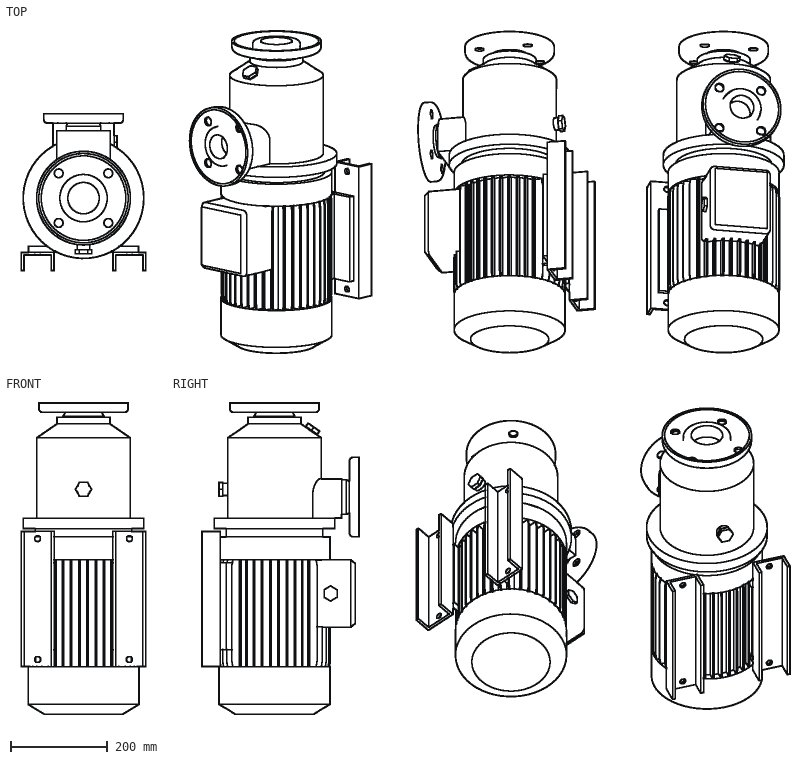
import cadquery as cq
import math

COWL_CHAMFER_TOP = 20.5
FIN_BOTTOM = 98.5
FIN_TOP = 320.0
NECK_BOTTOM = 367.0
DISC_BOTTOM = 384.0
DISC_TOP = 406.0
CONE_BOTTOM = 572.0
CONE_TOP = 601.0
COLLAR_TOP = 615.0
INLET_FACE = 644.5

COWL_BOTTOM_RADIUS = 81.0
COWL_RADIUS = 115.0
FIN_ROOT_RADIUS = 100.0
NECK_RADIUS = 100.0
DISC_RADIUS = 125.0
CASING_RADIUS = 97.0
COLLAR_RADIUS = 55.0

SIDES = 4
SIDE_ANGLE = 360.0 / SIDES
FINS_PER_SIDE = 10
FIN_PITCH_ANGLE = SIDE_ANGLE / FINS_PER_SIDE
FIN_SPACING_RADIUS = 110.0
FIN_THICKNESS = 3.0
FIN_TIP_RADIUS = 116.0
FIN_HEIGHT = 20.0
FIN_TAPER_DEPTH = 2.0
FIN_TAPER_LENGTH = 12.0

BOX_WIDTH = 127.0
BOX_BOTTOM = 180.0
BOX_INNER_Y = 75.0
BOX_OUTER_Y = 167.5
BOX_CORNER_RADIUS = 10.0
BOX_BEVEL_DEPTH = 10.0
BOX_BEVEL_INSET = 8.0
GLAND_ACROSS_FLATS = 27.0
GLAND_LENGTH = 6.0
GLAND_Y = 116.0

RAIL_X = 95.0
RAIL_WIDTH = 68.0
RAIL_DEPTH = 38.0
RAIL_WALL = 6.0
RAIL_LENGTH = 280.0
RAIL_BACK_Y = -112.0
RAIL_HOLE_DIAMETER = 12.0
RAIL_HOLE_INSET = 15.0
PAD_THICKNESS = 12.5
PAD_INNER_X = 58.0
PAD_OUTER_X = 114.0
PAD_BOTTOM = 134.0
PAD_HEIGHT = 180.0
PAD_WEB_THICKNESS = 12.0
PAD_WEB_TOP_Y = -75.0

FLANGE_THICKNESS = 20.0
FLANGE_WALL = 5.0
FLANGE_OUTER_FILLET = 8.0
FLANGE_INNER_FILLET = 2.5
FLANGE_HOLE_COUNT = 4
FLANGE_HOLE_DIAMETER = 18.0
FLANGE_FIRST_HOLE_ANGLE = 45.0
HUB_WALL = 16.5
HUB_FILLET = 6.0

INLET_FLANGE_RADIUS = 92.5
INLET_BOLT_CIRCLE = 145.0
INLET_BORE = 65.0
INLET_PIPE_RADIUS = 38.0
INLET_FOOT_RADIUS = 42.5
INLET_FOOT_HEIGHT = 1.5

OUTLET_FLANGE_RADIUS = 82.5
OUTLET_BOLT_CIRCLE = 125.0
OUTLET_BORE = 50.0
OUTLET_PIPE_RADIUS = 33.0
OUTLET_FOOT_RADIUS = 36.0
OUTLET_FOOT_HEIGHT = 9.5
OUTLET_FACE_Y = 175.0
OUTLET_Z = 449.5
BLOCK_WIDTH = 111.5
BLOCK_TOP = 487.0
BLOCK_END_Y = 139.0
BLOCK_FILLET = 31.0

PLUG_ACROSS_FLATS = 29.0
PLUG_HEAD = 8.5
PLUG_SHANK_RADIUS = 13.0
DRAIN_Z = DISC_TOP + 59.5
DRAIN_FACE_Y = -115.0
VENT_HEIGHT = 9.5
PLUG_SINK = 10.0


def cylinder(radius, bottom, top):
    return cq.Workplane("XY").workplane(offset=bottom).circle(radius).extrude(top - bottom)


def block(x_range, y_range, z_range):
    size = [end - start for start, end in (x_range, y_range, z_range)]
    corner = (x_range[0], y_range[0], z_range[0])
    return cq.Workplane("XY").box(*size, centered=False).translate(corner)


def hexagon_diameter(across_flats):
    return across_flats / math.cos(math.radians(30))


def motor_frame():
    """Turned parts of the motor: fan cowl, fin root, end ring, neck and mounting disc."""
    outline = [
        (0, 0),
        (COWL_BOTTOM_RADIUS, 0),
        (COWL_RADIUS, COWL_CHAMFER_TOP),
        (COWL_RADIUS, FIN_BOTTOM),
        (FIN_ROOT_RADIUS, FIN_BOTTOM),
        (FIN_ROOT_RADIUS, FIN_TOP),
        (COWL_RADIUS, FIN_TOP),
        (COWL_RADIUS, NECK_BOTTOM),
        (NECK_RADIUS, NECK_BOTTOM),
        (NECK_RADIUS, DISC_BOTTOM),
        (DISC_RADIUS, DISC_BOTTOM),
        (DISC_RADIUS, DISC_TOP),
        (0, DISC_TOP),
    ]
    return cq.Workplane("XZ").polyline(outline).close().revolve(360, (0, 0), (0, 1))


def cooling_fin(angle):
    """Plate reaching out along +X, with its tip tapered at both ends."""
    place = FIN_SPACING_RADIUS * math.sin(math.radians(angle))
    tip = FIN_TIP_RADIUS * math.cos(math.radians(angle))
    root = tip - FIN_HEIGHT
    outline = [
        (root, FIN_BOTTOM),
        (tip - FIN_TAPER_DEPTH, FIN_BOTTOM),
        (tip, FIN_BOTTOM + FIN_TAPER_LENGTH),
        (tip, FIN_TOP - FIN_TAPER_LENGTH),
        (tip - FIN_TAPER_DEPTH, FIN_TOP),
        (root, FIN_TOP),
    ]
    plane = cq.Workplane("XZ", origin=(0, place, 0))
    return plane.polyline(outline).close().extrude(FIN_THICKNESS / 2, both=True)


def cooling_fins():
    """Parallel plates on all four sides; their pitch shrinks towards the corners."""
    fins = cq.Workplane("XY")
    for index in range(FINS_PER_SIDE):
        fin = cooling_fin((index - (FINS_PER_SIDE - 1) / 2) * FIN_PITCH_ANGLE)
        for side in range(SIDES):
            fins = fins.add(fin.rotate((0, 0, 0), (0, 0, 1), SIDE_ANGLE * side))
    return fins.combine()


def terminal_box():
    half = BOX_WIDTH / 2
    box = block((-half, half), (BOX_INNER_Y, BOX_OUTER_Y), (BOX_BOTTOM, FIN_TOP))
    box = box.edges("|Y").fillet(BOX_CORNER_RADIUS)
    box = box.faces(">Y").chamfer(BOX_BEVEL_INSET, BOX_BEVEL_DEPTH)
    gland = (
        cq.Workplane("YZ", origin=(half, GLAND_Y, (BOX_BOTTOM + FIN_TOP) / 2))
        .transformed(rotate=(0, 0, 90))
        .polygon(6, hexagon_diameter(GLAND_ACROSS_FLATS))
        .extrude(GLAND_LENGTH)
    )
    return box.union(gland)


def foot():
    """Channel rail on the +X side with the pad and web that carry it on the motor."""
    left = RAIL_X - RAIL_WIDTH / 2
    right = RAIL_X + RAIL_WIDTH / 2
    heights = (FIN_BOTTOM, FIN_BOTTOM + RAIL_LENGTH)
    open_y = RAIL_BACK_Y - RAIL_DEPTH
    rail = block((left, right), (open_y, RAIL_BACK_Y), heights)
    rail = rail.cut(block((left + RAIL_WALL, right - RAIL_WALL), (open_y, RAIL_BACK_Y - RAIL_WALL), heights))
    hole_z = [heights[0] + RAIL_HOLE_INSET, heights[1] - RAIL_HOLE_INSET]
    holes = (
        cq.Workplane("XZ", origin=(0, RAIL_BACK_Y, 0))
        .pushPoints([(RAIL_X, z) for z in hole_z])
        .circle(RAIL_HOLE_DIAMETER / 2)
        .extrude(RAIL_WALL)
    )
    pad_heights = (PAD_BOTTOM, PAD_BOTTOM + PAD_HEIGHT)
    pad = block((PAD_INNER_X, PAD_OUTER_X), (RAIL_BACK_Y, RAIL_BACK_Y + PAD_THICKNESS), pad_heights)
    web = block((PAD_INNER_X, PAD_INNER_X + PAD_WEB_THICKNESS), (RAIL_BACK_Y, PAD_WEB_TOP_Y), pad_heights)
    return rail.cut(holes).union(pad).union(web)


def build_motor():
    motor = motor_frame().union(cooling_fins()).union(terminal_box())
    right_foot = foot()
    return motor.union(right_foot).union(right_foot.mirror("YZ"))


def pump_casing():
    outline = [
        (0, DISC_TOP),
        (CASING_RADIUS, DISC_TOP),
        (CASING_RADIUS, CONE_BOTTOM),
        (COLLAR_RADIUS, CONE_TOP),
        (COLLAR_RADIUS, COLLAR_TOP),
        (0, COLLAR_TOP),
    ]
    return cq.Workplane("XZ").polyline(outline).close().revolve(360, (0, 0), (0, 1))


def outlet_block():
    half = BLOCK_WIDTH / 2
    body = block((-half, half), (0, BLOCK_END_Y), (DISC_TOP, BLOCK_TOP))
    return body.edges("|Y and >Z").fillet(BLOCK_FILLET)


def connection(length, flange_radius, bolt_circle, bore, pipe_radius, foot_radius, foot_height):
    """Cupped pipe flange on a stub along +Z; the stub stands on Z = 0, the flange face is at Z = length."""
    flange_back = length - FLANGE_THICKNESS
    floor = flange_back + FLANGE_WALL
    hub_radius = bore / 2 + HUB_WALL

    flange = cylinder(flange_radius, flange_back, length).faces("<Z").edges().fillet(FLANGE_OUTER_FILLET)
    flange = flange.cut(cylinder(flange_radius - FLANGE_WALL, floor, length))
    hub = cylinder(hub_radius, floor, length).faces(">Z").edges().fillet(HUB_FILLET)
    flange = flange.union(hub)
    low_corner = (-flange_radius, -flange_radius, floor - FLANGE_WALL / 2)
    high_corner = (flange_radius, flange_radius, floor + FLANGE_WALL / 2)
    floor_edges = cq.selectors.BoxSelector(low_corner, high_corner, boundingbox=True)
    flange = flange.edges(floor_edges).fillet(FLANGE_INNER_FILLET)
    holes = (
        cq.Workplane("XY")
        .workplane(offset=flange_back)
        .polarArray(bolt_circle / 2, FLANGE_FIRST_HOLE_ANGLE, 360, FLANGE_HOLE_COUNT)
        .circle(FLANGE_HOLE_DIAMETER / 2)
        .extrude(FLANGE_WALL)
    )

    stub = (
        cq.Workplane("XZ")
        .lineTo(foot_radius, 0)
        .lineTo(foot_radius, foot_height)
        .lineTo(pipe_radius, flange_back)
        .lineTo(0, flange_back)
        .close()
        .revolve(360, (0, 0), (0, 1))
    )
    return flange.cut(holes).union(stub).cut(cylinder(bore / 2, 0, length))


def plug(height):
    """Hexagon screw plug along +Z: its seat is at Z = 0 and its head ends at Z = height."""
    shank = cylinder(PLUG_SHANK_RADIUS, -PLUG_SINK, height)
    head = (
        cq.Workplane("XY")
        .workplane(offset=height - PLUG_HEAD)
        .polygon(6, hexagon_diameter(PLUG_ACROSS_FLATS))
        .extrude(PLUG_HEAD)
    )
    return shank.union(head)


def build_pump():
    inlet = connection(
        INLET_FACE - COLLAR_TOP, INLET_FLANGE_RADIUS, INLET_BOLT_CIRCLE, INLET_BORE,
        INLET_PIPE_RADIUS, INLET_FOOT_RADIUS, INLET_FOOT_HEIGHT,
    ).translate((0, 0, COLLAR_TOP))
    outlet = connection(
        OUTLET_FACE_Y - BLOCK_END_Y, OUTLET_FLANGE_RADIUS, OUTLET_BOLT_CIRCLE, OUTLET_BORE,
        OUTLET_PIPE_RADIUS, OUTLET_FOOT_RADIUS, OUTLET_FOOT_HEIGHT,
    ).rotate((0, 0, 0), (1, 0, 0), -90).translate((0, BLOCK_END_Y, OUTLET_Z))

    drain = plug(-DRAIN_FACE_Y - CASING_RADIUS)
    drain = drain.rotate((0, 0, 0), (1, 0, 0), 90).translate((0, -CASING_RADIUS, DRAIN_Z))

    cone_tilt = math.degrees(math.atan2(CONE_TOP - CONE_BOTTOM, CASING_RADIUS - COLLAR_RADIUS))
    cone_middle = (0, (CASING_RADIUS + COLLAR_RADIUS) / 2, (CONE_BOTTOM + CONE_TOP) / 2)
    vent = plug(VENT_HEIGHT).rotate((0, 0, 0), (1, 0, 0), -cone_tilt).translate(cone_middle)

    pump = pump_casing().union(outlet_block()).union(inlet).union(outlet)
    return pump.union(drain).union(vent)


motor = build_motor()
pump = build_pump()

result = cq.Compound.makeCompound([motor.val(), pump.val()])